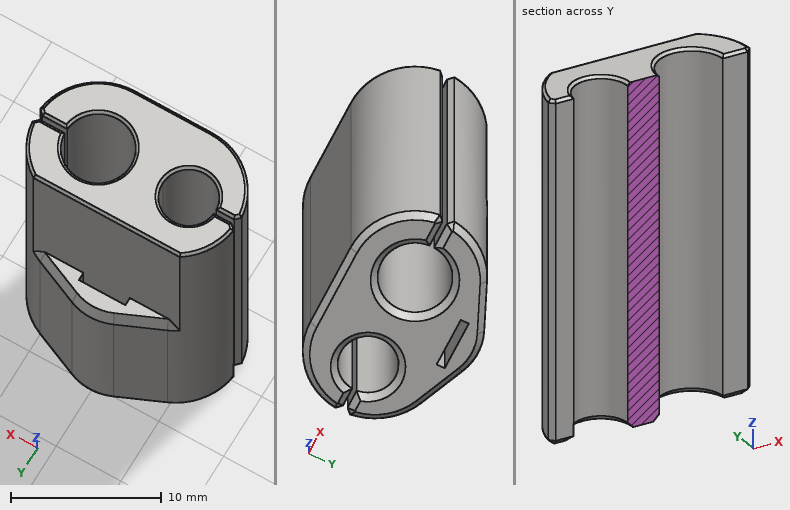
import cadquery as cq
import math

height = 26.0
side_radius = 4.8
side_offset = 3.0
back_flat_y = 4.0

hump_height = 14.0
hump_radius = 4.0
hump_peak_y = 6.2
hump_taper_height = 1.0
hump_taper_inset = 0.42

bores = [(-4.0, 4.05), (3.0, 5.0)]

slit_width = 0.35
mouth_flare = 0.36
half_width = side_offset + side_radius

strap_width = 3.6
strap_depth = 0.6

top_chamfer = 0.2
bottom_chamfer = 0.47


def polar(center, radius, angle_from_y):
    """Point on a circle, with the angle measured from +Y towards +X."""
    return (
        center[0] + radius * math.sin(angle_from_y),
        center[1] + radius * math.cos(angle_from_y),
    )


def mirrored(point):
    return (-point[0], point[1])


def full_outline():
    """Two rounded sides joined by straight tangents to the hump's crown arc."""
    side_center = (side_offset, 0)
    crown_center = (0, hump_peak_y - hump_radius)
    center_distance = math.hypot(side_offset, crown_center[1])
    center_angle = math.atan2(crown_center[1], side_offset)
    tangent_angle = center_angle - math.asin((side_radius - hump_radius) / center_distance)

    side_start = polar(side_center, side_radius, tangent_angle)
    side_middle = polar(side_center, side_radius, (tangent_angle + math.pi) / 2)
    crown_end = polar(crown_center, hump_radius, tangent_angle)
    front_corner = (side_offset, -side_radius)
    return (
        cq.Workplane("XY")
        .moveTo(*mirrored(front_corner))
        .lineTo(*front_corner)
        .threePointArc(side_middle, side_start)
        .lineTo(*crown_end)
        .threePointArc((0, hump_peak_y), mirrored(crown_end))
        .lineTo(*mirrored(side_start))
        .threePointArc(mirrored(side_middle), mirrored(front_corner))
        .close()
    )


def make_block():
    """Full-height block with a shorter, tapered hump on its back."""
    hump = full_outline().extrude(hump_height)
    hump = hump.faces(">Z").chamfer(hump_taper_height, hump_taper_inset)
    behind_back_flat = (
        cq.Workplane("XY")
        .box(2 * half_width, hump_peak_y, height, centered=(True, False, False))
        .translate((0, back_flat_y, 0))
    )
    body = full_outline().extrude(height).cut(behind_back_flat)
    return body.union(hump)


def make_slit(bore_x):
    """Slit from a bore out through the nearest side, with a 45 degree mouth."""
    direction = math.copysign(1, bore_x)
    half_slit = slit_width / 2
    mouth_x = math.sqrt(side_radius**2 - (half_slit + mouth_flare) ** 2) + side_offset
    overshoot = 2 * mouth_flare
    throat_x = mouth_x - mouth_flare
    end_x = mouth_x + overshoot
    end_half = half_slit + mouth_flare + overshoot
    points = [
        (bore_x, -half_slit),
        (direction * throat_x, -half_slit),
        (direction * end_x, -end_half),
        (direction * end_x, end_half),
        (direction * throat_x, half_slit),
        (bore_x, half_slit),
    ]
    return cq.Workplane("XY").polyline(points).close().extrude(height)


def make_strap_passage():
    return (
        cq.Workplane("XY")
        .box(strap_width, strap_depth, height, centered=(True, False, False))
        .translate((0, back_flat_y, 0))
    )


part = make_block().cut(make_strap_passage())
for bore_x, bore_diameter in bores:
    part = part.cut(cq.Workplane("XY").center(bore_x, 0).circle(bore_diameter / 2).extrude(height))
    part = part.cut(make_slit(bore_x))

part = part.faces(">Z").chamfer(top_chamfer)

bottom_rim = part.faces("<Z").val().outerWire().Edges()
result = part.newObject(bottom_rim).chamfer(bottom_chamfer)